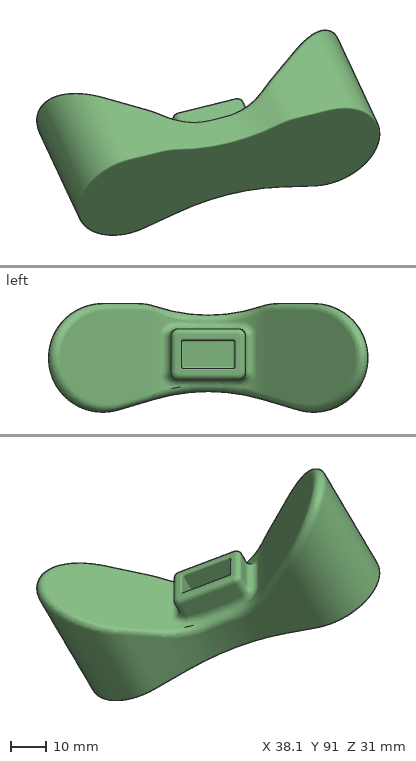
import cadquery as cq
import math

LOBE_RADIUS = 15.5
LOBE_CENTER_Y = 30.0
TOP_FLAT_END_Y = 20.0
SHOULDER_RADIUS = 15.0
WAIST_TOP_Z = 12.2
WAIST_BOTTOM_Z = -9.6
WAIST_BOTTOM_RADIUS = 54.0

FRONT_FLAT_X = -11.0
FRONT_FLAT_HALF_WIDTH = 3.2
FRONT_ARC_RADIUS = 20.0
WING_ANGLE = math.radians(40)
FRONT_ARC_END_Y = FRONT_FLAT_HALF_WIDTH + FRONT_ARC_RADIUS * math.sin(WING_ANGLE)
FRONT_ARC_END_X = FRONT_FLAT_X - FRONT_ARC_RADIUS * (1 - math.cos(WING_ANGLE))
RIM_RADIUS = 2.0
BACK_EDGE_RADIUS = 0.5

SOCKET_FRONT_X = -20.0
SOCKET_CENTER_Z = 1.0
HOLE_WIDTH = 15.2
HOLE_HEIGHT = 8.0
HOLE_DEPTH = 10.0
HOLE_CORNER_RADIUS = 0.5
HOLE_FLOOR_RADIUS = 0.6
HOLE_MOUTH_RADIUS = 0.5
SOCKET_WIDTH = 21.2
SOCKET_HEIGHT = 14.5
SOCKET_CORNER_RADIUS = 2.0
SOCKET_FRONT_RADIUS = 1.5
SOCKET_ROOT_RADIUS = 2.0

BODY_HALF_WIDTH = LOBE_CENTER_Y + LOBE_RADIUS
CUT_MARGIN = 5.0
SELECT_MARGIN = 0.5


def wing_x(y):
    """X of the sloping wing face at distance y from the middle."""
    return FRONT_ARC_END_X - (y - FRONT_ARC_END_Y) * math.tan(WING_ANGLE)


def outline():
    """Closed outline of the body in the YZ plane, symmetric about y = 0."""
    shoulder_turn = 2 * math.atan((LOBE_RADIUS - WAIST_TOP_Z) / TOP_FLAT_END_Y)
    shoulder_y = TOP_FLAT_END_Y - SHOULDER_RADIUS * math.sin(shoulder_turn)
    shoulder_z = LOBE_RADIUS - SHOULDER_RADIUS * (1 - math.cos(shoulder_turn))
    half_turn = shoulder_turn / 2
    shoulder_mid_y = TOP_FLAT_END_Y - SHOULDER_RADIUS * math.sin(half_turn)
    shoulder_mid_z = LOBE_RADIUS - SHOULDER_RADIUS * (1 - math.cos(half_turn))

    waist_center_z = WAIST_BOTTOM_Z - WAIST_BOTTOM_RADIUS
    center_distance = math.hypot(LOBE_CENTER_Y, waist_center_z)
    center_angle = math.atan2(LOBE_CENTER_Y, -waist_center_z)
    slope = center_angle - math.acos((LOBE_RADIUS + WAIST_BOTTOM_RADIUS) / center_distance)
    lobe_y = LOBE_CENTER_Y - LOBE_RADIUS * math.sin(slope)
    lobe_z = -LOBE_RADIUS * math.cos(slope)
    waist_y = WAIST_BOTTOM_RADIUS * math.sin(slope)
    waist_z = waist_center_z + WAIST_BOTTOM_RADIUS * math.cos(slope)

    return (
        cq.Workplane("YZ")
        .moveTo(-shoulder_y, shoulder_z)
        .threePointArc((0, WAIST_TOP_Z), (shoulder_y, shoulder_z))
        .threePointArc((shoulder_mid_y, shoulder_mid_z), (TOP_FLAT_END_Y, LOBE_RADIUS))
        .lineTo(LOBE_CENTER_Y, LOBE_RADIUS)
        .threePointArc((BODY_HALF_WIDTH, 0), (lobe_y, lobe_z))
        .lineTo(waist_y, waist_z)
        .threePointArc((0, WAIST_BOTTOM_Z), (-waist_y, waist_z))
        .lineTo(-lobe_y, lobe_z)
        .threePointArc((-BODY_HALF_WIDTH, 0), (-LOBE_CENTER_Y, LOBE_RADIUS))
        .lineTo(-TOP_FLAT_END_Y, LOBE_RADIUS)
        .threePointArc((-shoulder_mid_y, shoulder_mid_z), (-shoulder_y, shoulder_z))
        .close()
    )


def front_block(half_width, half_height):
    """Block behind the front face profile, back to the plane x = 0."""
    arc_mid_y = FRONT_FLAT_HALF_WIDTH + FRONT_ARC_RADIUS * math.sin(WING_ANGLE / 2)
    arc_mid_x = FRONT_FLAT_X - FRONT_ARC_RADIUS * (1 - math.cos(WING_ANGLE / 2))
    return (
        cq.Workplane("XY")
        .moveTo(0, half_width)
        .lineTo(wing_x(half_width), half_width)
        .lineTo(FRONT_ARC_END_X, FRONT_ARC_END_Y)
        .threePointArc((arc_mid_x, arc_mid_y), (FRONT_FLAT_X, FRONT_FLAT_HALF_WIDTH))
        .lineTo(FRONT_FLAT_X, -FRONT_FLAT_HALF_WIDTH)
        .threePointArc((arc_mid_x, -arc_mid_y), (FRONT_ARC_END_X, -FRONT_ARC_END_Y))
        .lineTo(wing_x(half_width), -half_width)
        .lineTo(0, -half_width)
        .close()
        .extrude(half_height, both=True)
    )


def make_body():
    half_width = BODY_HALF_WIDTH + CUT_MARGIN
    prism = outline().extrude(wing_x(half_width))
    body = prism.intersect(front_block(half_width, LOBE_RADIUS + CUT_MARGIN))
    body = body.faces(">X").edges().fillet(BACK_EDGE_RADIUS)
    wing_face = cq.selectors.NearestToPointSelector((wing_x(LOBE_CENTER_Y), LOBE_CENTER_Y, 0))
    rim = body.faces(wing_face).edges("not |Z")
    return rim.fillet(RIM_RADIUS)


def add_socket(body):
    """Join the rounded socket block to the body and blend its root."""
    block = (
        cq.Workplane("YZ", origin=(0, 0, SOCKET_CENTER_Z))
        .rect(SOCKET_WIDTH, SOCKET_HEIGHT)
        .extrude(SOCKET_FRONT_X)
    )
    block = block.edges("|X").fillet(SOCKET_CORNER_RADIUS)
    block = block.faces("<X").edges().fillet(SOCKET_FRONT_RADIUS)

    half_width = SOCKET_WIDTH / 2 + SELECT_MARGIN
    half_height = SOCKET_HEIGHT / 2 + SELECT_MARGIN
    root_edges = cq.selectors.BoxSelector(
        (SOCKET_FRONT_X + SOCKET_FRONT_RADIUS + SELECT_MARGIN, -half_width, SOCKET_CENTER_Z - half_height),
        (FRONT_FLAT_X + SELECT_MARGIN, half_width, SOCKET_CENTER_Z + half_height),
        boundingbox=True,
    )
    return body.union(block).edges(root_edges).fillet(SOCKET_ROOT_RADIUS)


def cut_hole(body):
    """Blind rectangular hole into the socket, with a rounded mouth."""
    hole = (
        cq.Workplane("YZ", origin=(SOCKET_FRONT_X, 0, SOCKET_CENTER_Z))
        .rect(HOLE_WIDTH, HOLE_HEIGHT)
        .extrude(HOLE_DEPTH)
        .faces(">X")
        .edges("|Z")
        .fillet(HOLE_FLOOR_RADIUS)
        .edges("|X")
        .fillet(HOLE_CORNER_RADIUS)
    )
    mouth_half_width = HOLE_WIDTH / 2 + SELECT_MARGIN
    mouth_half_height = HOLE_HEIGHT / 2 + SELECT_MARGIN
    mouth_edges = cq.selectors.BoxSelector(
        (SOCKET_FRONT_X - SELECT_MARGIN, -mouth_half_width, SOCKET_CENTER_Z - mouth_half_height),
        (SOCKET_FRONT_X + SELECT_MARGIN, mouth_half_width, SOCKET_CENTER_Z + mouth_half_height),
        boundingbox=True,
    )
    return body.cut(hole).edges(mouth_edges).fillet(HOLE_MOUTH_RADIUS)


result = cut_hole(add_socket(make_body()))